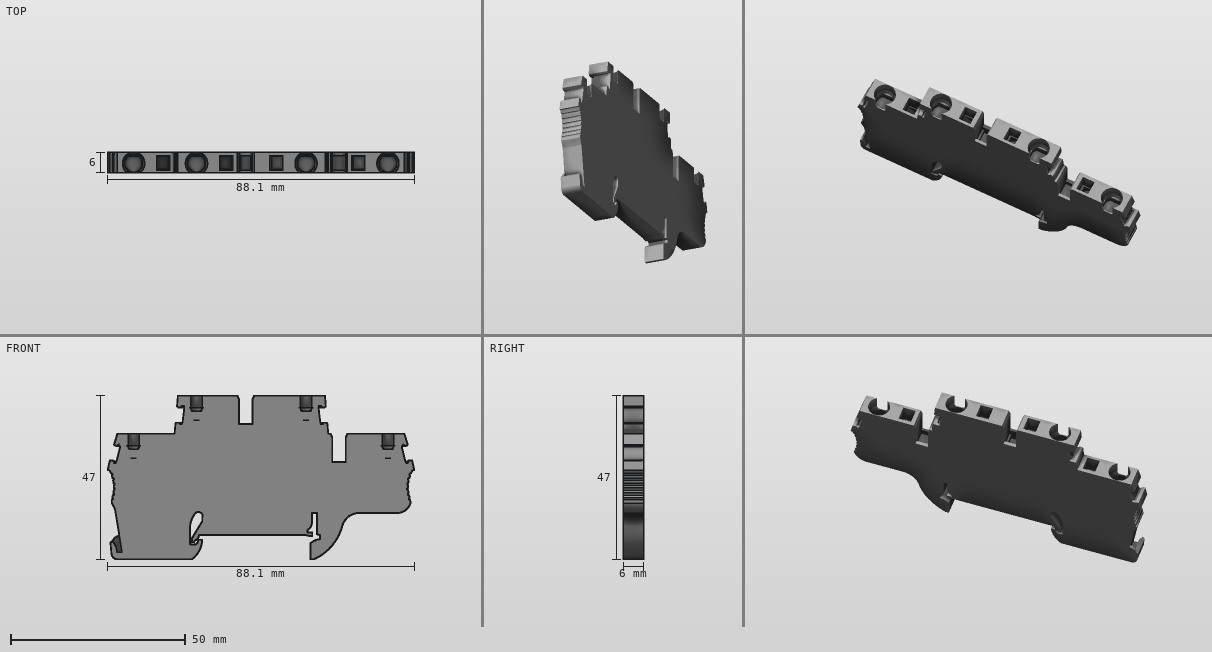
import cadquery as cq
import math

LENGTH = 88.1
THICKNESS = 6.0
HEIGHT = 47.0
LOWER_DECK = 36.1
WING_UNDERSIDE = 13.3
RAIL_SEAT = 7.0

FRONT = -THICKNESS / 2
WEB = 0.7

LOWER_AXIS = LENGTH / 2
UPPER_AXIS = 41.3

SLOT_WIDTH = 3.8
SLOT_DEPTH = 8.1
SLOT_LEAD_X = 0.5
SLOT_LEAD_Z = 1.1
UPPER_SLOT_X = 37.8
LOWER_SLOT_X = 64.6
SLOT_WELL_DEPTH = 1.8
SLOT_WELL_STEP = 0.5

TERMINALS = [
    (7.5, LOWER_DECK, 1),
    (25.5, HEIGHT, 1),
    (57.0, HEIGHT, -1),
    (80.5, LOWER_DECK, -1),
]
HOLE_RADIUS = 3.2
HOLE_Y = -0.3
HOLE_BACK_FLAT = 1.1
HOLE_STRAIGHT_DEPTH = 3.4
TAPER_DEPTH = 4.5
BORE_RADIUS = 2.55
BORE_DEPTH = 7.05
BORE_BACK = 1.8
BORE_END = 2.4
WINDOW_WIDTH = 3.2
WINDOW_CORNER = 0.8

POCKET_PITCH = 8.5
POCKET_LENGTH = 3.8
POCKET_WIDTH = 4.2
POCKET_Y = -0.13
POCKET_DEPTH = 5.3
POCKET_LEDGE = 0.5
POCKET_SIDE_STEP = 0.3
POCKET_FLOOR_ANGLE = 45.0

GRIP_TOP = (0.5, 25.5)
GRIP_MIDDLE = (1.8, 20.7)
GRIP_BOTTOM = (1.15, 17.3)
GRIP_GROOVES = 6
GROOVE_RADIUS = 0.31
GROOVE_LEAD = 0.9

LOWER_JAW = [
    (0, 25.6), (0.6, 28.45), (1.5, 28.45), (1.85, 28.2), (2.55, 28.2),
    (3.6, 32.4), (2.55, 32.4), (1.85, 32.9), (2.8, LOWER_DECK),
]
UPPER_JAW = [
    (19.2, LOWER_DECK), (19.5, 38.9), (19.7, 39.3), (21.5, 39.3),
    (22.0, 43.6), (20.35, 43.6), (19.9, 43.95), (20.2, HEIGHT),
]

LOWER_NOTCHES = [
    [(1.6, 28.45), (1.9, 27.6), (2.3, 27.6), (2.55, 28.3)],
    [(2.6, 32.3), (3.2, 33.0), (3.6, 32.3)],
]
UPPER_NOTCHES = [
    [(20.5, 39.4), (20.9, 38.75), (21.3, 38.75), (21.5, 39.4)],
    [(21.0, 43.5), (21.3, 44.1), (21.9, 44.1), (22.0, 43.5)],
]

END_FACE_TOP = (2.1, 14.4)
RECESS_CORNER = (4.1, 2.1)
FOOT_TIP = (1.4, 5.3)
WEB_TOP = 6.9
end_face_slope = (RECESS_CORNER[0] - END_FACE_TOP[0]) / (RECESS_CORNER[1] - END_FACE_TOP[1])
WEB_CORNER = (RECESS_CORNER[0] + end_face_slope * (WEB_TOP - RECESS_CORNER[1]), WEB_TOP)
FOOT_RECESS = [
    FOOT_TIP, (FOOT_TIP[0], WEB_TOP), WEB_CORNER, RECESS_CORNER, (2.7, RECESS_CORNER[1]), (2.5, 3.6),
]


def mirrored(points, axis):
    """Mirror (x, z) points about x = axis and reverse their order."""
    return [(2 * axis - x, z) for x, z in reversed(points)]


def line_through(sketch, points):
    for point in points:
        sketch = sketch.lineTo(*point)
    return sketch


def slot_points(left, deck):
    """Outline of a bridge slot, from its left rim to its right rim."""
    right = left + SLOT_WIDTH
    return [
        (left - SLOT_LEAD_X, deck), (left, deck - SLOT_LEAD_Z), (left, deck - SLOT_DEPTH),
        (right, deck - SLOT_DEPTH), (right, deck - SLOT_LEAD_Z), (right + SLOT_LEAD_X, deck),
    ]


def front_plane(y):
    """XZ sketch plane at the given y whose extrusions run toward +Y."""
    return cq.Workplane(cq.Plane(origin=(0, y, 0), xDir=(1, 0, 0), normal=(0, -1, 0)))


def box_between(x0, x1, y0, y1, z0, z1):
    return cq.Workplane("XY").box(x1 - x0, y1 - y0, z1 - z0, centered=False).translate((x0, y0, z0))


def body():
    grip_right = mirrored([GRIP_TOP, GRIP_MIDDLE, GRIP_BOTTOM], LOWER_AXIS)
    outline = front_plane(FRONT).moveTo(*GRIP_BOTTOM)
    outline = outline.threePointArc(GRIP_MIDDLE, GRIP_TOP)

    outline = line_through(outline, LOWER_JAW + UPPER_JAW)
    outline = line_through(outline, slot_points(UPPER_SLOT_X, HEIGHT))
    outline = line_through(outline, mirrored(UPPER_JAW, UPPER_AXIS))
    outline = line_through(outline, slot_points(LOWER_SLOT_X, LOWER_DECK))
    outline = line_through(outline, mirrored(LOWER_JAW, LOWER_AXIS))

    outline = outline.lineTo(*grip_right[2]).threePointArc(grip_right[1], grip_right[0])
    outline = outline.lineTo(87.0, 16.1).threePointArc((86.1, 14.6), (83.7, WING_UNDERSIDE))
    outline = outline.lineTo(72.1, WING_UNDERSIDE)

    outline = outline.threePointArc((69.3, 12.3), (67.6, 10.0))
    outline = outline.threePointArc((64.2, 3.6), (59.3, 0))
    outline = line_through(outline, [(58.2, 0), (58.2, 4.6)])
    outline = outline.threePointArc((59.4, 5.4), (60.95, 5.8))
    outline = line_through(outline, [
        (60.95, RAIL_SEAT), (60.1, 7.2), (60.1, WING_UNDERSIDE), (58.75, WING_UNDERSIDE), (58.75, 10.9),
    ])
    outline = outline.threePointArc((58.4, 9.4), (57.4, 8.4))
    outline = line_through(outline, [
        (57.4, 7.75), (58.8, 7.75), (58.8, 6.7), (58.0, 6.7), (56.9, RAIL_SEAT), (26.3, RAIL_SEAT),
    ])

    outline = line_through(outline, [(26.0, 6.0), (24.9, 5.2), (24.8, 4.8), (24.2, 4.8), (24.2, 6.1)])
    outline = line_through(outline, [(27.1, 10.9), (27.2, 12.8)])
    outline = outline.threePointArc((26.3, 13.6), (25.0, 12.95))
    outline = outline.threePointArc((24.05, 11.1), (23.7, 9.1)).lineTo(23.7, 4.6)
    outline = outline.threePointArc((23.8, 4.3), (24.05, 4.2)).lineTo(25.0, 4.2)
    outline = outline.threePointArc((25.7, 4.7), (26.0, 5.6)).lineTo(27.2, 5.6)

    outline = outline.threePointArc((26.2, 2.1), (24.2, 0)).lineTo(2.5, 0)
    outline = outline.threePointArc((1.4, 0.8), (1.1, 1.9))
    outline = line_through(outline, [(0.8, 4.8), FOOT_TIP])
    outline = outline.threePointArc((2.3, 6.3), WEB_CORNER)
    outline = line_through(outline, [END_FACE_TOP, (1.8, 15.15), (1.15, 16.3)])
    return outline.close().extrude(-THICKNESS)


def side_recess(points):
    """Recess cut from the front face that leaves a thin web at the back."""
    return front_plane(FRONT).polyline(points).close().extrude(-(THICKNESS - WEB))


def grip_grooves(mirror):
    """Small grooves evenly spaced along the hollow of one end face."""
    arc = cq.Edge.makeThreePointArc(*[cq.Vector(x, z, 0) for x, z in (GRIP_TOP, GRIP_MIDDLE, GRIP_BOTTOM)])
    spots = [arc.positionAt((k + GROOVE_LEAD) / GRIP_GROOVES) for k in range(GRIP_GROOVES)]
    centres = [(spot.x, spot.y) for spot in spots]
    if mirror:
        centres = mirrored(centres, LOWER_AXIS)
    return front_plane(FRONT).pushPoints(centres).circle(GROOVE_RADIUS).extrude(-THICKNESS)


def screw_hole(x, deck, outward):
    """Round hole that tapers into a flatted bore and opens through a window in the front face."""
    half_profile = [
        (0, 0), (HOLE_RADIUS, 0), (HOLE_RADIUS, -HOLE_STRAIGHT_DEPTH),
        (BORE_RADIUS, -TAPER_DEPTH), (0, -TAPER_DEPTH),
    ]
    hole = cq.Workplane("XZ").polyline(half_profile).close().revolve(360, (0, 0), (0, 1))
    hole = hole.translate((x, HOLE_Y, deck))
    hole_back = HOLE_Y + math.sqrt(HOLE_RADIUS**2 - (HOLE_BACK_FLAT / 2)**2)
    hole = hole.intersect(box_between(
        x - HOLE_RADIUS, x + HOLE_RADIUS, HOLE_Y - HOLE_RADIUS, hole_back, deck - TAPER_DEPTH, deck))

    bore = cq.Workplane("XY").circle(BORE_RADIUS).extrude(-BORE_DEPTH).translate((x, HOLE_Y, deck))
    bore_ends = sorted([x + outward * BORE_END, x - outward * BORE_RADIUS])
    bore = bore.intersect(box_between(*bore_ends, FRONT, BORE_BACK, deck - BORE_DEPTH, deck))

    half_window = WINDOW_WIDTH / 2
    window = box_between(x - half_window, x + half_window, FRONT, HOLE_Y, deck - TAPER_DEPTH, deck)
    window = window.edges("|Y and <Z").fillet(WINDOW_CORNER)
    return hole.union(bore).union(window)


def wire_pocket(x, deck, outward):
    """Rectangular pocket with an end ledge and a floor that slopes down away from the hole."""
    half = POCKET_LENGTH / 2
    ledge_z = deck - POCKET_DEPTH
    y0 = POCKET_Y - POCKET_WIDTH / 2
    mouth = box_between(x - half, x + half, y0, y0 + POCKET_WIDTH, ledge_z, deck)

    ramp_length = POCKET_LENGTH - POCKET_LEDGE
    drop = ramp_length * math.tan(math.radians(POCKET_FLOOR_ANGLE))
    high_end = x - outward * half
    low_end = high_end + outward * ramp_length
    ramp_width = POCKET_WIDTH - 2 * POCKET_SIDE_STEP
    ramp = front_plane(y0 + POCKET_SIDE_STEP)
    ramp = ramp.polyline([(low_end, ledge_z), (high_end, ledge_z), (low_end, ledge_z - drop)])
    return mouth.union(ramp.close().extrude(-ramp_width))


def slot_well(left, right, floor, depth):
    y0 = POCKET_Y - POCKET_WIDTH / 2
    return box_between(left, right, y0, y0 + POCKET_WIDTH, floor - depth, floor)


block = body()

for notch in LOWER_NOTCHES:
    block = block.cut(side_recess(notch)).cut(side_recess(mirrored(notch, LOWER_AXIS)))
for notch in UPPER_NOTCHES:
    block = block.cut(side_recess(notch)).cut(side_recess(mirrored(notch, UPPER_AXIS)))
block = block.cut(side_recess(FOOT_RECESS))

for mirror_side in (False, True):
    block = block.cut(grip_grooves(mirror_side))

for hole_x, deck_z, outward_side in TERMINALS:
    block = block.cut(screw_hole(hole_x, deck_z, outward_side))
    block = block.cut(wire_pocket(hole_x + outward_side * POCKET_PITCH, deck_z, outward_side))

upper_floor = HEIGHT - SLOT_DEPTH
lower_floor = LOWER_DECK - SLOT_DEPTH
upper_slot_end = UPPER_SLOT_X + SLOT_WIDTH
lower_slot_end = LOWER_SLOT_X + SLOT_WIDTH
block = block.cut(slot_well(UPPER_SLOT_X, upper_slot_end, upper_floor, SLOT_WELL_DEPTH))
block = block.cut(slot_well(LOWER_SLOT_X, lower_slot_end, lower_floor, SLOT_WELL_DEPTH))
block = block.cut(slot_well(
    UPPER_SLOT_X + SLOT_WELL_STEP, upper_slot_end - SLOT_WELL_STEP, upper_floor, 2 * SLOT_WELL_DEPTH))

result = block